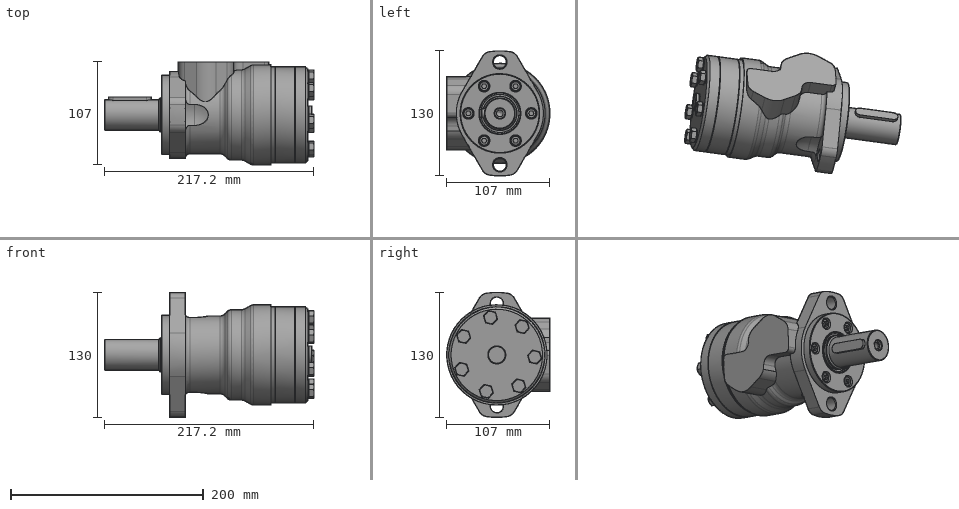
import cadquery as cq
import math

collar_start_x = 56.0
pilot_front_x = 59.0
flange_front_x = 67.5
flange_back_x = 83.8
housing_end_x = 172.5
plate_end_x = 176.5
ring_end_x = 197.7
cover_end_x = 210.7
overall_length = 217.2

overall_width = 107.0

shaft_diameter = 32.0
shaft_tip_chamfer = 0.7
collar_diameter = 35.0
collar_taper_length = 1.5
shoulder_diameter = 35.6
shoulder_start_x = 58.6
center_hole_diameter = 7.0
center_hole_depth = 10.9
center_bore_diameter = 10.5
center_bore_depth = 3.5
center_bore_chamfer = 0.7
drill_tip_angle = 118.0
key_start_x = 4.0
key_end_x = 48.7
key_width = 10.0
key_height = 8.0
key_top_y = 18.7

pilot_diameter = 82.5
pilot_chamfer = 0.7
seal_seat_diameter = 42.4
seal_seat_depth = 1.0
seal_seat_chamfer = 0.7
seal_bore_diameter = 39.5
seal_bore_depth = 2.0
screw_count = 6
screw_circle_radius = 32.5
screw_bore_diameter = 12.0
screw_bore_depth = 4.0
screw_head_diameter = 10.0
screw_head_chamfer = 0.5
screw_head_recess = 1.3
screw_socket_flats = 4.8
screw_socket_depth = 2.5

flange_half_height = 65.0
flange_half_width = 45.2
flange_edge_angle = 60.0
flange_corner_radius = 10.9
mount_hole_z = 53.2
mount_hole_diameter = 13.2
mount_hole_chamfer = 0.9

neck_radius = 40.5
neck_fillet = 4.5
neck_end_x = 119.5
waist_radius = 47.0
waist_start_x = 131.5
waist_end_x = 141.8
rim_radius = 104.0 / 2
rim_start_x = 154.2

relief_radius = 30.5
relief_depth = 3.5
relief_end_x = 93.5

port_center_x = 123.2
port_face_y = overall_width - rim_radius

disc_diameter = 100.0
ring_chamfer = 0.7
cover_chamfer = 2.5

bolt_count = 7
bolt_circle_radius = 39.3
first_bolt_angle = -3.3
bolt_flats = 13.0
bolt_turn = 47.0
bolt_tip_diameter = 13.0
bolt_chamfer_height = 0.7
washer_diameter = 12.0
washer_height = 1.0
plug_diameter = 18.7
plug_neck_diameter = 18.0
plug_end_x = 215.2
plug_chamfer = 0.7


def x_cylinder(diameter, start, end, y=0.0, z=0.0):
    """Cylinder along X from start to end."""
    plane = cq.Plane(origin=(start, y, z), xDir=(0, 1, 0), normal=(1, 0, 0))
    return cq.Workplane(plane).circle(diameter / 2).extrude(end - start)


def x_hexagon(flats, start, end, y, z, turn=0.0):
    """Hexagonal prism along X, with its first corner turned from +Y towards +Z."""
    plane = cq.Plane(origin=(start, y, z), xDir=(0, 1, 0), normal=(1, 0, 0))
    prism = cq.Workplane(plane).polygon(6, 2 * flats / math.sqrt(3)).extrude(end - start)
    return prism.rotate((start, y, z), (end, y, z), turn)


def circle_places(count, radius, first_angle=0.0):
    """Y, Z places spread evenly on a circle about the X axis."""
    places = []
    for index in range(count):
        angle = math.radians(first_angle + 360 * index / count)
        places.append((radius * math.cos(angle), radius * math.sin(angle)))
    return places


def make_key():
    """Parallel key with rounded ends, on the +Y side of the shaft."""
    length = key_end_x - key_start_x
    middle_x = (key_start_x + key_end_x) / 2
    return (
        cq.Workplane("XZ", origin=(middle_x, key_top_y, 0))
        .slot2D(length, key_width)
        .extrude(key_height)
    )


def make_center_hole():
    """Stepped hole in the shaft end, closed by a drill cone."""
    hole_radius = center_hole_diameter / 2
    bore_radius = center_bore_diameter / 2
    tip_x = center_hole_depth + hole_radius / math.tan(math.radians(drill_tip_angle / 2))
    return (
        cq.Workplane("XY")
        .polyline([
            (0, 0),
            (0, bore_radius + center_bore_chamfer),
            (center_bore_chamfer, bore_radius),
            (center_bore_depth, bore_radius),
            (center_bore_depth, hole_radius),
            (center_hole_depth, hole_radius),
            (tip_x, 0),
        ])
        .close()
        .revolve(360, (0, 0, 0), (1, 0, 0))
    )


def make_shaft(key):
    """Output shaft with a tapered collar, a shoulder, a keyway and a hole in its end."""
    shaft_radius = shaft_diameter / 2
    collar_radius = collar_diameter / 2
    shoulder_radius = shoulder_diameter / 2
    shaft = (
        cq.Workplane("XY")
        .polyline([
            (0, 0),
            (0, shaft_radius - shaft_tip_chamfer),
            (shaft_tip_chamfer, shaft_radius),
            (collar_start_x, shaft_radius),
            (collar_start_x + collar_taper_length, collar_radius),
            (shoulder_start_x, collar_radius),
            (shoulder_start_x, shoulder_radius),
            (flange_front_x, shoulder_radius),
            (flange_front_x, 0),
        ])
        .close()
        .revolve(360, (0, 0, 0), (1, 0, 0))
    )
    return shaft.cut(make_center_hole()).cut(key)


def make_flange():
    """Oval flange: a rhombus rounded at the sides and cut round at both ends."""
    edge_angle = math.radians(flange_edge_angle)
    side_y = flange_half_width / math.sin(edge_angle)
    peak_z = flange_half_width / math.cos(edge_angle)
    thickness = flange_back_x - flange_front_x
    rhombus = (
        cq.Workplane("YZ", origin=(flange_front_x, 0, 0))
        .polyline([(side_y, 0), (0, peak_z), (-side_y, 0), (0, -peak_z)])
        .close()
        .extrude(thickness)
    )
    rhombus = rhombus.edges("|X and (<Y or >Y)").fillet(flange_half_width)
    flange = rhombus.intersect(x_cylinder(2 * flange_half_height, flange_front_x, flange_back_x))
    end_corners = cq.selectors.BoxSelector(
        (flange_front_x, -flange_half_width, flange_half_width),
        (flange_back_x, flange_half_width, flange_half_height),
    )
    opposite_corners = cq.selectors.BoxSelector(
        (flange_front_x, -flange_half_width, -flange_half_height),
        (flange_back_x, flange_half_width, -flange_half_width),
    )
    return flange.edges("|X").edges(end_corners + opposite_corners).fillet(flange_corner_radius)


def make_barrel():
    """Round body behind the flange, which widens in two blended steps."""
    first_slope = (124.7, 42.5, 127.3, 45.2)
    second_slope = (145.7, 48.0, 151.2, 51.0)
    return (
        cq.Workplane("XY")
        .moveTo(flange_front_x, 0)
        .lineTo(flange_front_x, neck_radius + neck_fillet)
        .lineTo(flange_back_x, neck_radius + neck_fillet)
        .radiusArc((flange_back_x + neck_fillet, neck_radius), -neck_fillet)
        .lineTo(neck_end_x, neck_radius)
        .tangentArcPoint(first_slope[:2], relative=False)
        .lineTo(*first_slope[2:])
        .tangentArcPoint((waist_start_x, waist_radius), relative=False)
        .lineTo(waist_end_x, waist_radius)
        .tangentArcPoint(second_slope[:2], relative=False)
        .lineTo(*second_slope[2:])
        .tangentArcPoint((rim_start_x, rim_radius), relative=False)
        .lineTo(housing_end_x, rim_radius)
        .lineTo(housing_end_x, 0)
        .close()
        .revolve(360, (0, 0, 0), (1, 0, 0))
    )


def make_port_block():
    """Port block towards +Y. Its outline repeats after half a turn about its centre."""
    outline = cq.Workplane("XZ", origin=(port_center_x, port_face_y, 0)).moveTo(-47.1, 0.7)
    for side in (1, -1):
        for straight_end, arc_end in (
            ((-46.0, 19.5), (-40.5, 28.7)),
            ((-28.0, 35.6), (-7.5, 34.3)),
            ((4.0, 26.7), (10.6, 18.2)),
            ((11.0, 13.0), (20.2, 4.3)),
            ((42.4, 4.3), (47.1, -0.7)),
        ):
            outline = outline.lineTo(side * straight_end[0], side * straight_end[1])
            outline = outline.tangentArcPoint((side * arc_end[0], side * arc_end[1]), relative=False)
    return outline.close().extrude(port_face_y)


def make_relief(side):
    """Round-ended hollow in the neck behind one mounting hole."""
    axis_z = side * (neck_radius - relief_depth + relief_radius)
    end_ball = cq.Workplane("XY", origin=(relief_end_x, 0, axis_z)).sphere(relief_radius)
    trough = x_cylinder(2 * relief_radius, flange_back_x, relief_end_x, 0, axis_z)
    in_front = x_cylinder(2 * relief_radius, relief_end_x - relief_radius, flange_back_x, 0, axis_z)
    return trough.union(end_ball).cut(in_front)


def make_mount_hole(side):
    """Mounting hole with a chamfer at the flange front."""
    hole_radius = mount_hole_diameter / 2
    return (
        cq.Workplane("XY", origin=(0, 0, side * mount_hole_z))
        .polyline([
            (flange_front_x, 0),
            (flange_front_x, hole_radius + mount_hole_chamfer),
            (flange_front_x + mount_hole_chamfer, hole_radius),
            (flange_back_x, hole_radius),
            (flange_back_x, 0),
        ])
        .close()
        .revolve(360, (0, 0, 0), (1, 0, 0))
    )


def make_screw_recess(y, z):
    """Gap around and above one sunk socket-head screw, with its hexagon socket."""
    head_x = pilot_front_x + screw_head_recess
    bore = x_cylinder(screw_bore_diameter, pilot_front_x, pilot_front_x + screw_bore_depth, y, z)
    head = x_cylinder(screw_head_diameter, head_x, pilot_front_x + screw_bore_depth, y, z)
    head = head.faces("<X").chamfer(screw_head_chamfer)
    socket = x_hexagon(screw_socket_flats, head_x, head_x + screw_socket_depth, y, z)
    return bore.cut(head).union(socket)


def make_housing(shaft):
    """Housing with its pilot, mounting flange, barrel and port block."""
    pilot = x_cylinder(pilot_diameter, pilot_front_x, flange_front_x)
    pilot = pilot.faces("<X").chamfer(pilot_chamfer)
    pilot = pilot.cut(x_cylinder(seal_seat_diameter, pilot_front_x, pilot_front_x + seal_seat_depth))
    pilot = pilot.faces("<X").edges(cq.selectors.RadiusNthSelector(0)).chamfer(seal_seat_chamfer)
    pilot = pilot.cut(x_cylinder(seal_bore_diameter, pilot_front_x, pilot_front_x + seal_bore_depth))
    housing = pilot.union(make_flange()).union(make_barrel()).union(make_port_block())
    for side in (1, -1):
        housing = housing.cut(make_relief(side)).cut(make_mount_hole(side))
    for y, z in circle_places(screw_count, screw_circle_radius):
        housing = housing.cut(make_screw_recess(y, z))
    return housing.cut(shaft)


def make_cover_bolt(y, z):
    """Hexagon bolt head with a washer face and a chamfered end."""
    hex_start = cover_end_x + washer_height
    corner_diameter = bolt_flats * 2 / math.sqrt(3)
    washer = x_cylinder(washer_diameter, cover_end_x, hex_start, y, z)
    turned = x_cylinder(corner_diameter, hex_start, overall_length, y, z)
    turned = turned.faces(">X").chamfer(bolt_chamfer_height, (corner_diameter - bolt_tip_diameter) / 2)
    head = x_hexagon(bolt_flats, hex_start, overall_length, y, z, bolt_turn)
    return washer.union(head.intersect(turned))


def make_plug():
    """Round plug in the middle of the end cover."""
    head_start = cover_end_x + washer_height
    neck = x_cylinder(plug_neck_diameter, cover_end_x, head_start)
    head = x_cylinder(plug_diameter, head_start, plug_end_x)
    return neck.union(head.faces(">X").chamfer(plug_chamfer))


def make_end_cover():
    """End cover carrying the ring of bolt heads and the plug."""
    cover = x_cylinder(disc_diameter, ring_end_x, cover_end_x)
    cover = cover.faces(">X").chamfer(cover_chamfer)
    for y, z in circle_places(bolt_count, bolt_circle_radius, first_bolt_angle):
        cover = cover.union(make_cover_bolt(y, z))
    return cover.union(make_plug())


key = make_key()
shaft = make_shaft(key)
housing = make_housing(shaft)
spacer_plate = x_cylinder(disc_diameter, housing_end_x, plate_end_x)
gear_ring = x_cylinder(disc_diameter, plate_end_x, ring_end_x).edges().chamfer(ring_chamfer)
end_cover = make_end_cover()

result = cq.Compound.makeCompound([
    shaft.val(),
    key.val(),
    housing.val(),
    spacer_plate.val(),
    gear_ring.val(),
    end_cover.val(),
])